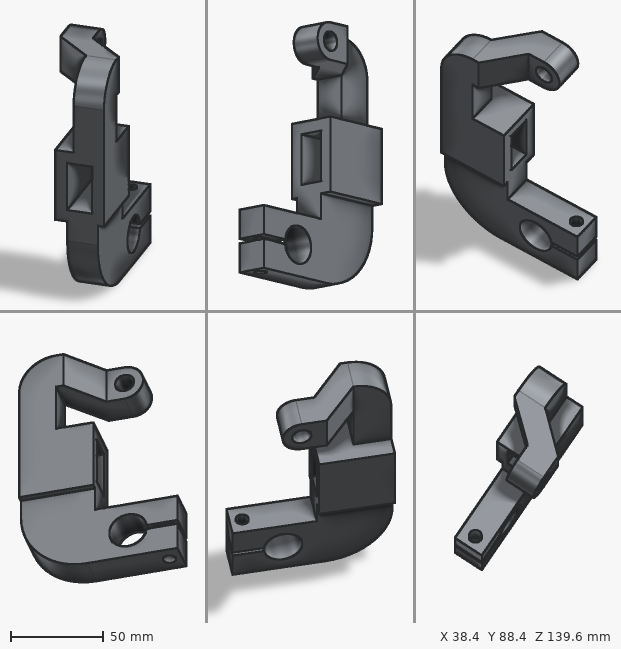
import cadquery as cq

total_width = 38.4
total_depth = 88.4
total_height = 139.6

foot_left = 17.3
foot_width = 17.6
foot_height = 34.9
foot_bend_radius = 37.4
clamp_bore_diameter = 21.1
clamp_bore_y = 60.5
clamp_bore_z = foot_height / 2
clamp_slit_height = 2.5
screw_diameter = 7.0
screw_y = total_depth - 7.0

block_left = 10.5
block_depth = 41.9
block_bottom = 49.0
block_top = 90.7
window_left = 17.3
window_width = 14.2
window_height = 28.0

arm_section = 21.0
arm_width = 17.5
upright_left = total_width - arm_width
eye_end_y = 63.9
eye_hole_diameter = 10.6
crank_inner_start_y = 25.0
crank_outer_end_y = 39.6
crank_inner_end_y = 43.3

cut_margin = 1.4


def box(x_min, y_min, z_min, width, depth, height):
    """Make a box from its minimum corner and its sizes."""
    return cq.Workplane("XY").box(width, depth, height, centered=False).translate((x_min, y_min, z_min))


def side_plane(x):
    """Make a YZ sketch plane at the given X."""
    return cq.Workplane("YZ", origin=(x, 0, 0))


def make_foot():
    """L-shaped foot with a large front bend, split bore and clamp screw hole."""
    foot = (
        side_plane(foot_left)
        .polyline([
            (0, 0),
            (total_depth, 0),
            (total_depth, foot_height),
            (block_depth, foot_height),
            (block_depth, block_bottom),
            (0, block_bottom),
        ])
        .close()
        .extrude(foot_width)
    )
    foot = foot.edges("|X and <Y and <Z").fillet(foot_bend_radius)
    bore = (
        side_plane(foot_left)
        .center(clamp_bore_y, clamp_bore_z)
        .circle(clamp_bore_diameter / 2)
        .extrude(foot_width)
    )
    slit = box(
        foot_left, clamp_bore_y, clamp_bore_z - clamp_slit_height / 2,
        foot_width, total_depth - clamp_bore_y + cut_margin, clamp_slit_height,
    )
    screw_hole = (
        cq.Workplane("XY")
        .center(foot_left + foot_width / 2, screw_y)
        .circle(screw_diameter / 2)
        .extrude(foot_height)
    )
    return foot.cut(bore).cut(slit).cut(screw_hole)


def make_block():
    """Rectangular block with a window running through it along Y."""
    height = block_top - block_bottom
    block = box(block_left, 0, block_bottom, total_width - block_left, block_depth, height)
    window_bottom = block_bottom + (height - window_height) / 2
    window = box(window_left, 0, window_bottom, window_width, block_depth, window_height)
    return block.cut(window)


def make_arm():
    """Upright and cranked arm with a rounded front corner and a rounded eye."""
    upright = box(upright_left, 0, block_top, arm_width, arm_section, total_height - block_top)
    arm = (
        cq.Workplane("XY", origin=(0, 0, total_height - arm_section))
        .polyline([
            (upright_left, 0),
            (total_width, 0),
            (total_width, crank_inner_start_y),
            (arm_width, crank_inner_end_y),
            (arm_width, eye_end_y),
            (0, eye_end_y),
            (0, crank_outer_end_y),
            (upright_left, arm_section),
        ])
        .close()
        .extrude(arm_section)
    )
    radius = arm_section / 2
    eye_y = eye_end_y - radius
    eye_z = total_height - radius
    silhouette = (
        box(0, 0, block_top, total_width, eye_y, total_height - block_top)
        .edges("|X and <Y and >Z")
        .fillet(arm_section)
    )
    eye_round = side_plane(0).center(eye_y, eye_z).circle(radius).extrude(total_width)
    eye_hole = side_plane(0).center(eye_y, eye_z).circle(eye_hole_diameter / 2).extrude(arm_width)
    return upright.union(arm).intersect(silhouette.union(eye_round)).cut(eye_hole)


result = make_foot().union(make_block()).union(make_arm())